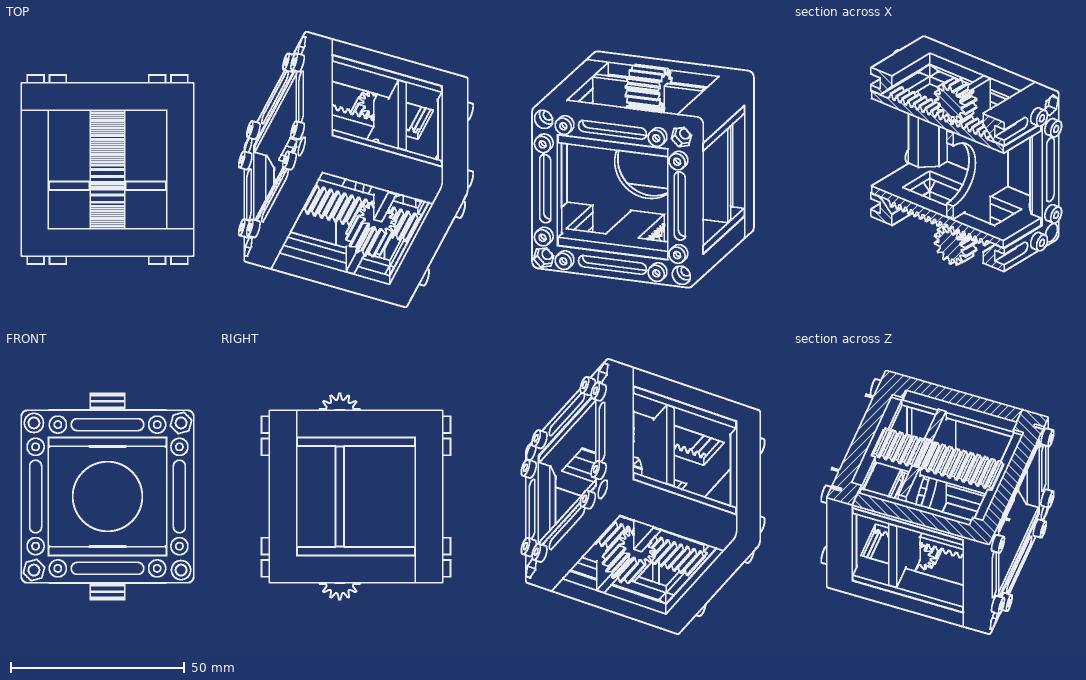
import cadquery as cq
import math

BODY_WIDTH = 49.8
BODY_LENGTH = 50.1
TOTAL_LENGTH = 54.5
TOTAL_HEIGHT = 59.4
WINDOW = 34.0
WALL = 3.75
EDGE_RADIUS = 1.95
END_RADIUS = 0.5

BOLT_PLACE = 21.2
BOLT_DIAMETER = 3.1
BOLT_HEAD_DIAMETER = 5.5
NUT_ACROSS_FLATS = 5.5
NUT_ANGLE = 15
BOLT_HEAD_DEPTH = 4.0
NUT_DEPTH = 2.95

RIM_PLACE = 20.7
SLOT_LENGTH = 20.9
SLOT_WIDTH = 3.45
SLOT_DEPTH = 3.5
SCREW_SPREAD = 28.6
SCREW_HEAD_DIAMETER = 4.9
SOCKET_DIAMETER = 2.1
SOCKET_DEPTH = 1.8

CLEARANCE = 0.15
RING_BOTTOM = 14.5
RING_THICKNESS = 2.5
RING_HOLE = 34.45
PLATE_THICKNESS = 2.5
PLATE_Y = -4.7
PLATE_SHOULDER = 14.3
PLATE_TAB_WIDTH = 33.5
PLATE_HEIGHT = 50.1
PLATE_HOLE_DIAMETER = 20.0
NOTCH_WIDTH = 10.5

TOOTH_WIDTH = 10.0
RACK_TEETH = 17
RACK_LENGTH = 36.95
RACK_ROOT = 17.15
RACK_TIP = 18.8
GEAR_TEETH = 14
GEAR_TIP_RADIUS = 6.0
GEAR_ROOT_RADIUS = 4.3
TOOTH_TIP = 0.5
GEAR_TOOTH_ROOT = 1.4
RACK_TOOTH_ROOT = 1.65

CAVITY = BODY_WIDTH - 2 * WALL
CAVITY_LENGTH = BODY_LENGTH - 2 * WALL
HEAD_HEIGHT = (TOTAL_LENGTH - BODY_LENGTH) / 2
INNER_FIT = BODY_WIDTH - 2 * CLEARANCE
END_FACE = BODY_LENGTH / 2
RACK_PITCH = RACK_LENGTH / RACK_TEETH
GEAR_Z = TOTAL_HEIGHT / 2 - GEAR_TIP_RADIUS
HEX_CORNERS = 2 / math.sqrt(3)


def box(x_size, y_size, z_size, center=(0, 0, 0)):
    return cq.Workplane("XY").box(x_size, y_size, z_size).translate(center)


def end_plane(y):
    """Sketch plane facing -Y, with X to the right and Z up."""
    return cq.Workplane("XZ", origin=(0, y, 0))


def make_shell():
    """The whole frame before it is split into two halves."""
    shell = box(BODY_WIDTH, BODY_LENGTH, BODY_WIDTH)
    shell = shell.edges("|Y").fillet(EDGE_RADIUS).faces("<Y or >Y").edges().fillet(END_RADIUS)
    block = (CAVITY - WINDOW) / 2
    shell = shell.cut(box(CAVITY, CAVITY_LENGTH, CAVITY).edges().chamfer(block))
    block_length = (CAVITY_LENGTH - WINDOW) / 2
    for x in (-1, 1):
        for y in (-1, 1):
            for z in (-1, 1):
                center = (x * (WINDOW + block) / 2, y * (WINDOW + block_length) / 2, z * (WINDOW + block) / 2)
                shell = shell.union(box(block, block_length, block, center))
    shell = shell.cut(box(WINDOW, WINDOW, TOTAL_LENGTH))
    shell = shell.cut(box(WINDOW, TOTAL_LENGTH, WINDOW))
    return shell.cut(box(TOTAL_LENGTH, WINDOW, WINDOW))


def half_space():
    """Region of one half: the front frame and two diagonally opposite posts."""
    frame_depth = (BODY_LENGTH - WINDOW) / 2
    post = (BODY_WIDTH - WINDOW) / 2
    region = box(BODY_WIDTH, frame_depth, BODY_WIDTH, (0, -(WINDOW + frame_depth) / 2, 0))
    for side in (-1, 1):
        offset = side * (WINDOW + post) / 2
        region = region.union(box(post, WINDOW, post, (offset, 0, -offset)))
    return region


def cut_corner_bolts(half):
    places = [(x * BOLT_PLACE, z * BOLT_PLACE) for x in (-1, 1) for z in (-1, 1)]
    half = half.cut(end_plane(END_FACE).pushPoints(places).circle(BOLT_DIAMETER / 2).extrude(BODY_LENGTH))
    for x, z in places:
        recess = end_plane(-END_FACE)
        if x * z < 0:
            recess = recess.center(x, z).circle(BOLT_HEAD_DIAMETER / 2).extrude(-BOLT_HEAD_DEPTH)
        else:
            recess = recess.transformed(offset=(x, z, 0), rotate=(0, 0, NUT_ANGLE))
            recess = recess.polygon(6, NUT_ACROSS_FLATS * HEX_CORNERS).extrude(-NUT_DEPTH)
        half = half.cut(recess)
    return half


def cut_slots(half):
    slot = end_plane(-END_FACE).center(0, RIM_PLACE).slot2D(SLOT_LENGTH, SLOT_WIDTH).extrude(-SLOT_DEPTH)
    for turn in range(4):
        half = half.cut(slot.rotate((0, 0, 0), (0, 1, 0), 90 * turn))
    return half


def add_screw_heads(half):
    places = [(-SCREW_SPREAD / 2, RIM_PLACE), (SCREW_SPREAD / 2, RIM_PLACE)]
    heads = end_plane(-END_FACE).pushPoints(places).circle(SCREW_HEAD_DIAMETER / 2).extrude(HEAD_HEIGHT)
    sockets = end_plane(-END_FACE - HEAD_HEIGHT).pushPoints(places).circle(SOCKET_DIAMETER / 2)
    heads = heads.cut(sockets.extrude(-SOCKET_DEPTH))
    for turn in range(4):
        half = half.union(heads.rotate((0, 0, 0), (0, 1, 0), 90 * turn))
    return half


def make_housing_half():
    half = make_shell().intersect(half_space())
    half = cut_corner_bolts(half)
    half = cut_slots(half)
    return add_screw_heads(half)


def make_plate():
    """Cross-shaped plate with a round window and a notch for each gear."""
    plate = box(INNER_FIT, PLATE_THICKNESS, 2 * PLATE_SHOULDER)
    plate = plate.union(box(PLATE_TAB_WIDTH, PLATE_THICKNESS, PLATE_HEIGHT))
    plate = plate.cut(end_plane(PLATE_THICKNESS).circle(PLATE_HOLE_DIAMETER / 2).extrude(2 * PLATE_THICKNESS))
    for side in (-1, 1):
        notch_center = (0, 0, side * (PLATE_SHOULDER + INNER_FIT / 2))
        plate = plate.cut(box(NOTCH_WIDTH, PLATE_THICKNESS, INNER_FIT, notch_center))
    return plate.translate((0, PLATE_Y, 0))


def tooth_plane():
    """Sketch plane of the (Y, Z) outlines, at the -X end of the toothing."""
    return cq.Workplane("YZ", origin=(-TOOTH_WIDTH / 2, 0, 0))


def extrude_teeth(outline):
    return tooth_plane().polyline(outline).close().extrude(TOOTH_WIDTH)


def make_gear():
    """Upper gear, with one tooth pointing straight up."""
    gear = tooth_plane().circle(GEAR_ROOT_RADIUS).extrude(TOOTH_WIDTH)
    root_half = GEAR_TOOTH_ROOT / 2
    tip_half = TOOTH_TIP / 2
    root_height = math.sqrt(GEAR_ROOT_RADIUS**2 - root_half**2)
    tooth = extrude_teeth([
        (-root_half, 0),
        (-root_half, root_height),
        (-tip_half, GEAR_TIP_RADIUS),
        (tip_half, GEAR_TIP_RADIUS),
        (root_half, root_height),
        (root_half, 0),
    ])
    for index in range(GEAR_TEETH):
        gear = gear.union(tooth.rotate((0, 0, 0), (1, 0, 0), 360 * index / GEAR_TEETH))
    return gear.translate((0, PLATE_Y, GEAR_Z))


def make_rack_ring(gear):
    """Upper square ring with a toothed bar across its hole, relieved where the gear meshes."""
    core = CAVITY - 2 * CLEARANCE
    tab = WINDOW - 2 * CLEARANCE
    ring = box(core, core, RING_THICKNESS).edges("|Z").chamfer((CAVITY - WINDOW) / 2)
    ring = ring.union(box(INNER_FIT, tab, RING_THICKNESS)).union(box(tab, INNER_FIT, RING_THICKNESS))
    ring = ring.cut(box(RING_HOLE, RING_HOLE, RING_THICKNESS))
    ring = ring.translate((0, 0, RING_BOTTOM + RING_THICKNESS / 2))
    bar_end = RACK_LENGTH / 2
    outline = [(bar_end, RACK_ROOT), (bar_end, RING_BOTTOM), (-bar_end, RING_BOTTOM), (-bar_end, RACK_ROOT)]
    for index in range(RACK_TEETH):
        y = (index - (RACK_TEETH - 1) / 2) * RACK_PITCH
        outline += [
            (y - RACK_TOOTH_ROOT / 2, RACK_ROOT),
            (y - TOOTH_TIP / 2, RACK_TIP),
            (y + TOOTH_TIP / 2, RACK_TIP),
            (y + RACK_TOOTH_ROOT / 2, RACK_ROOT),
        ]
    return ring.union(extrude_teeth(outline)).cut(gear)


def upper_and_lower(body):
    """An upper body and its mirror image below the middle plane."""
    return [body, body.mirror("XY")]


front_half = make_housing_half()
housing_halves = [front_half.rotate((0, 0, 0), (0, 0, 1), angle) for angle in (0, 180)]
plate = make_plate()
upper_gear = make_gear()
gears = upper_and_lower(upper_gear)
rack_rings = upper_and_lower(make_rack_ring(upper_gear))

bodies = [*housing_halves, plate, *gears, *rack_rings]
result = cq.Compound.makeCompound([body.val() for body in bodies])